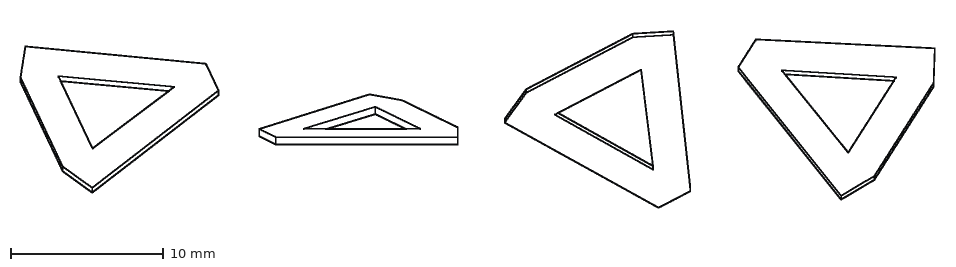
import cadquery as cq

width = 12.88
depth = 11.84
thickness = 0.5

corner_cut_x = 2.37
corner_cut_y = 1.2
top_edge_left = 5.44
top_edge_right = 7.87

window_left = 3.14
window_right = 9.71
window_bottom = 2.37
window_apex_x = 6.6
window_apex_y = 9.21

outer_points = [
    (0, corner_cut_y),
    (corner_cut_x, 0),
    (width - corner_cut_x, 0),
    (width, corner_cut_y),
    (top_edge_right, depth),
    (top_edge_left, depth),
]

window_points = [
    (window_left, window_bottom),
    (window_right, window_bottom),
    (window_apex_x, window_apex_y),
]


def prism(points):
    """Closed straight-sided outline raised to the plate thickness."""
    return cq.Workplane("XY").polyline(points).close().extrude(thickness)


result = prism(outer_points).cut(prism(window_points))